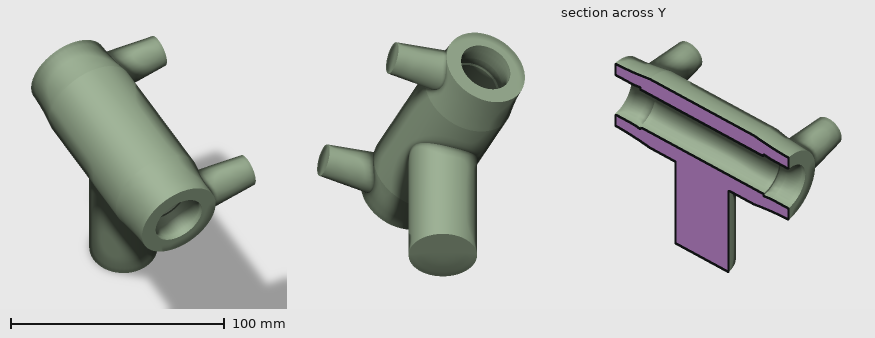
import cadquery as cq

barrel_length = 104.0
barrel_radius = 44.1 / 2
end_radius = 39.7 / 2
taper_length = 20.8
taper_hollow = 0.4

mouth_radius = 25.0 / 2
flare_radius = 26.2 / 2
middle_bore_radius = 23.7 / 2
mouth_depth = 10.4
step_depth = 15.0

stem_radius = 32.0 / 2
stem_bottom = 73.9

peg_spacing = 83.4
peg_tip_radius = 15.2 / 2
peg_base_radius = 19.3 / 2
peg_tip = 43.1
peg_base = 18.7

half_length = barrel_length / 2
shoulder = half_length - taper_length
taper_middle = half_length - taper_length / 2
taper_middle_radius = (barrel_radius + end_radius) / 2 - taper_hollow


def make_barrel():
    return (
        cq.Workplane("XY")
        .moveTo(-half_length, 0)
        .lineTo(-half_length, end_radius)
        .threePointArc((-taper_middle, taper_middle_radius), (-shoulder, barrel_radius))
        .lineTo(shoulder, barrel_radius)
        .threePointArc((taper_middle, taper_middle_radius), (half_length, end_radius))
        .lineTo(half_length, 0)
        .close()
        .revolve(360, (0, 0, 0), (1, 0, 0))
    )


def make_peg(x):
    axis = cq.Vector(0, 1, 0)
    cone = cq.Solid.makeCone(
        peg_base_radius, peg_tip_radius, peg_tip - peg_base, cq.Vector(x, peg_base, 0), axis
    )
    root = cq.Solid.makeCylinder(peg_base_radius, peg_base, cq.Vector(x, 0, 0), axis)
    return cq.Workplane(cone.fuse(root))


def make_stem():
    return cq.Workplane("XY").circle(stem_radius).extrude(-stem_bottom)


def make_bore():
    mouth_end = half_length - mouth_depth
    step = half_length - step_depth
    return (
        cq.Workplane("XY")
        .moveTo(-half_length, 0)
        .lineTo(-half_length, mouth_radius)
        .lineTo(-mouth_end, mouth_radius)
        .lineTo(-step, flare_radius)
        .lineTo(-step, middle_bore_radius)
        .lineTo(step, middle_bore_radius)
        .lineTo(step, flare_radius)
        .lineTo(mouth_end, mouth_radius)
        .lineTo(half_length, mouth_radius)
        .lineTo(half_length, 0)
        .close()
        .revolve(360, (0, 0, 0), (1, 0, 0))
    )


body = make_barrel().union(make_stem())
for side in (-1, 1):
    body = body.union(make_peg(side * peg_spacing / 2))

result = body.cut(make_bore())